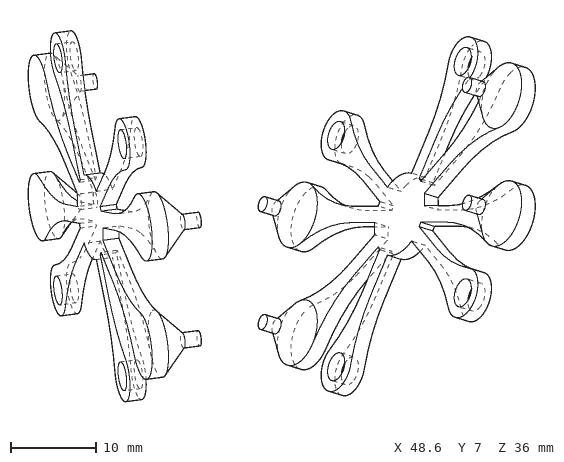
import cadquery as cq
import math

length_x = 48.65
height_z = 36

plate_thickness = 2.0
hub_radius = 5.0

arm_width = 2.0
flare_radius = 20.0

pad_radius = 4.0
pad_x = length_x / 2 - pad_radius
pad_z = 7.65
cone_height = 3.0
pin_radius = 0.9
pin_length = 2.0

ring_radius = 3.0
ring_x = 12.6
ring_z = height_z / 2 - ring_radius
hole_radius = 1.7

quadrants = [(1, 1), (-1, 1), (-1, -1), (1, -1)]


def arm(end_x, end_z, end_radius):
    """Radial arm with a round end, tangent to its two flare arcs."""
    reach = math.hypot(end_x, end_z)
    half_width = arm_width / 2
    flare_offset = half_width + flare_radius
    center_gap = end_radius + flare_radius
    flare_start = reach - math.sqrt(center_gap**2 - flare_offset**2)
    end_tangent_x = reach - end_radius * (reach - flare_start) / center_gap
    end_tangent_y = end_radius * flare_offset / center_gap
    sweep = math.asin((reach - flare_start) / center_gap)
    flare_mid_x = flare_start + flare_radius * math.sin(sweep / 2)
    flare_mid_y = flare_offset - flare_radius * math.cos(sweep / 2)

    outline = (
        cq.Workplane("XY")
        .moveTo(0, half_width)
        .lineTo(flare_start, half_width)
        .threePointArc((flare_mid_x, flare_mid_y), (end_tangent_x, end_tangent_y))
        .threePointArc((reach + end_radius, 0), (end_tangent_x, -end_tangent_y))
        .threePointArc((flare_mid_x, -flare_mid_y), (flare_start, -half_width))
        .lineTo(0, -half_width)
        .close()
    )
    angle = math.degrees(math.atan2(end_z, end_x))
    return (
        outline.extrude(plate_thickness)
        .rotate((0, 0, 0), (0, 0, 1), angle)
        .rotate((0, 0, 0), (1, 0, 0), 90)
        .translate((0, plate_thickness, 0))
    )


def cone_and_pin(x, z):
    """Cone narrowing from the pad to a cylindrical pin, along +Y."""
    cone_top = plate_thickness + cone_height
    pin_top = cone_top + pin_length
    profile = [
        (0, 0),
        (pad_radius, 0),
        (pad_radius, plate_thickness),
        (pin_radius, cone_top),
        (pin_radius, pin_top),
        (0, pin_top),
    ]
    return (
        cq.Workplane("XY")
        .polyline(profile)
        .close()
        .revolve(360, (0, 0, 0), (0, 1, 0))
        .translate((x, 0, z))
    )


def plate_cylinder(x, z, radius):
    """Cylinder through the plate thickness."""
    return (
        cq.Workplane("XZ")
        .center(x, z)
        .circle(radius)
        .extrude(-plate_thickness)
    )


result = plate_cylinder(0, 0, hub_radius)
for side_x, side_z in quadrants:
    result = result.union(arm(side_x * pad_x, side_z * pad_z, pad_radius))
    result = result.union(cone_and_pin(side_x * pad_x, side_z * pad_z))
    result = result.union(arm(side_x * ring_x, side_z * ring_z, ring_radius))

for side_x, side_z in quadrants:
    result = result.cut(plate_cylinder(side_x * ring_x, side_z * ring_z, hole_radius))